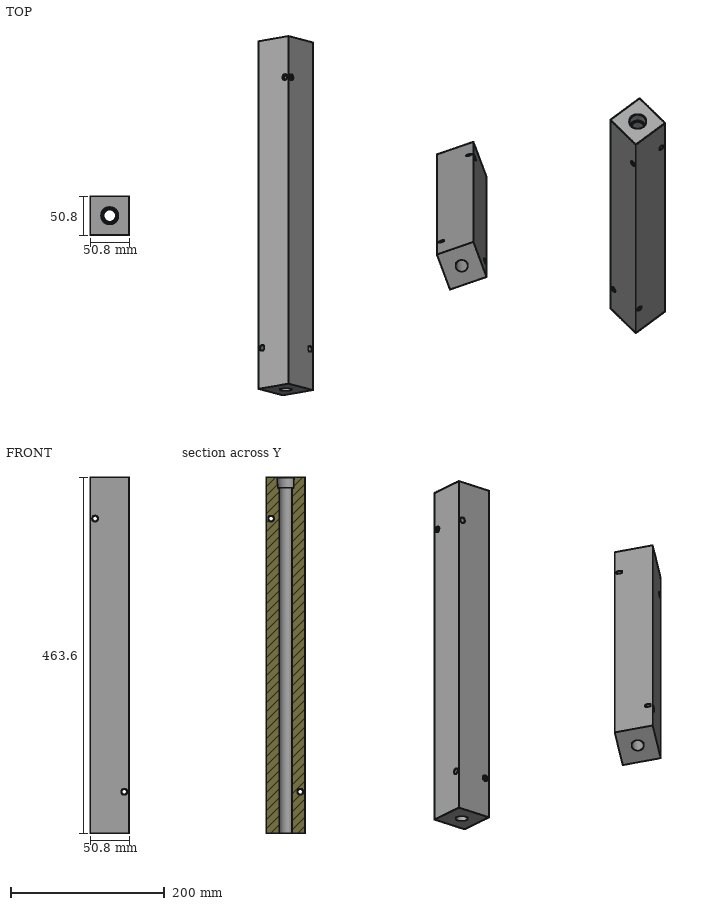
import cadquery as cq

bar_side = 50.8
bar_length = 463.55
edge_break = 0.254

bore_diameter = 15.875
socket_mouth_diameter = 21.1
socket_floor_diameter = 20.5
socket_depth = 14.0
socket_chamfer = 0.79

cross_hole_diameter = 7.1
cross_hole_chamfer = 0.45
cross_hole_spacing = 355.6
cross_hole_edge_distance = 6.35

half_side = bar_side / 2
top = bar_length / 2
cross_hole_offset = half_side - cross_hole_edge_distance
cross_hole_height = cross_hole_spacing / 2
x_axis = cq.Vector(1, 0, 0)
y_axis = cq.Vector(0, 1, 0)
z_axis = cq.Vector(0, 0, 1)


def make_bar():
    """Square bar along Z with small chamfers on all its edges."""
    return cq.Workplane("XY").box(bar_side, bar_side, bar_length).edges().chamfer(edge_break)


def mouth_chamfer(mouth_center, inward, hole_diameter, chamfer):
    """45 degree cone that chamfers the mouth of a hole running inward from a face."""
    radius = hole_diameter / 2
    return cq.Solid.makeCone(radius + chamfer, radius, chamfer, mouth_center, inward)


def cut_bore(body):
    """Axial through bore with the tapered socket in the top face."""
    top_center = z_axis * top
    down = z_axis * -1
    bore = cq.Solid.makeCylinder(bore_diameter / 2, bar_length, top_center, down)
    socket = cq.Solid.makeCone(
        socket_mouth_diameter / 2, socket_floor_diameter / 2, socket_depth, top_center, down
    )
    chamfer = mouth_chamfer(top_center, down, socket_mouth_diameter, socket_chamfer)
    return body.cut(bore).cut(socket).cut(chamfer)


def cut_cross_hole(body, center, axis):
    """Through hole along axis, chamfered at both mouths; center is on the bar's mid-plane."""
    start = center - axis * half_side
    finish = center + axis * half_side
    hole = cq.Solid.makeCylinder(cross_hole_diameter / 2, bar_side, start, axis)
    start_chamfer = mouth_chamfer(start, axis, cross_hole_diameter, cross_hole_chamfer)
    finish_chamfer = mouth_chamfer(finish, axis * -1, cross_hole_diameter, cross_hole_chamfer)
    return body.cut(hole).cut(start_chamfer).cut(finish_chamfer)


def cut_cross_holes(body):
    """At each end, a hole along Y and a hole along X that cross near one vertical edge."""
    for end in (1, -1):
        height = end * cross_hole_height
        offset = end * cross_hole_offset
        body = cut_cross_hole(body, cq.Vector(-offset, 0, height), y_axis)
        body = cut_cross_hole(body, cq.Vector(0, offset, height), x_axis)
    return body


result = cut_cross_holes(cut_bore(make_bar()))